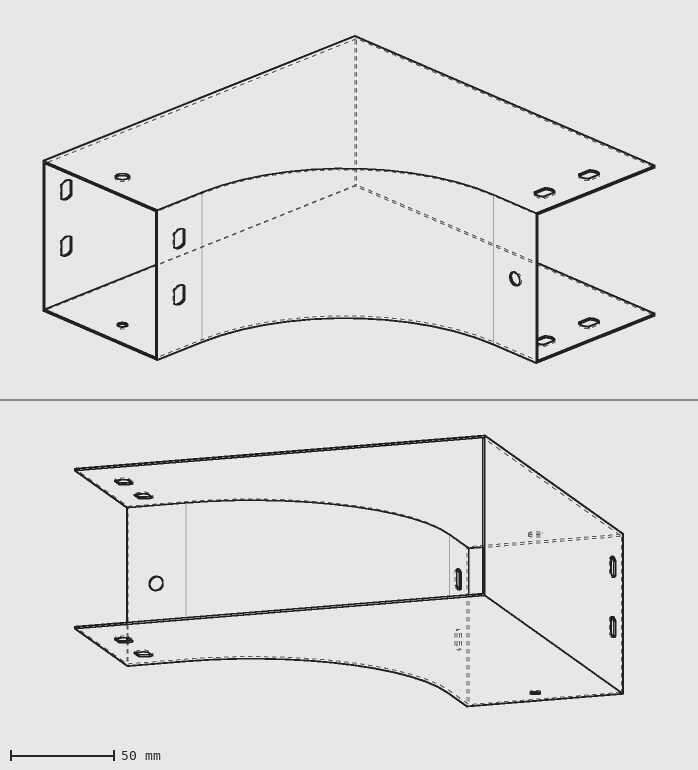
import cadquery as cq
import math

side = 210.0
duct = 80.0
wall = 1.0
straight = 30.0
bend_radius = side - duct - straight

end_inset = 15.0
slot_width = 7.0
slot_end_radius = 5.0
slot_offsets = (30.0, 60.0)
screw_clearance = 7.0
screw_pilot = 5.0


def elbow(inset, overrun, bottom, height):
    """L-shaped prism: walls moved inward by inset, open sides extended by overrun."""
    x_outer = inset
    y_outer = side + overrun
    x_inner = duct - inset
    y_inner = side - duct + inset
    x_end = side + overrun
    y_end = -overrun
    radius = bend_radius + inset
    centre_x = duct + bend_radius
    centre_y = straight
    diagonal = radius * math.sqrt(0.5)
    return (
        cq.Workplane("XY")
        .workplane(offset=bottom)
        .moveTo(x_outer, y_end)
        .lineTo(x_inner, y_end)
        .lineTo(x_inner, centre_y)
        .threePointArc((centre_x - diagonal, centre_y + diagonal), (centre_x, y_inner))
        .lineTo(x_end, y_inner)
        .lineTo(x_end, y_outer)
        .lineTo(x_outer, y_outer)
        .close()
        .extrude(height)
    )


def slot_cutter(plane, centre, length):
    """Straight-sided slot whose ends are arcs of one circle; it runs along the plane's local y."""
    half_width = slot_width / 2
    half_straight = math.sqrt(slot_end_radius**2 - half_width**2)
    return (
        cq.Workplane(plane)
        .center(*centre)
        .moveTo(-half_width, -half_straight)
        .threePointArc((0, -slot_end_radius), (half_width, -half_straight))
        .lineTo(half_width, half_straight)
        .threePointArc((0, slot_end_radius), (-half_width, half_straight))
        .close()
        .extrude(length)
    )


result = elbow(0, 0, 0, duct).cut(elbow(wall, wall, wall, duct - 2 * wall))

for offset in slot_offsets:
    result = result.cut(slot_cutter("YZ", (end_inset, offset), duct))
    result = result.cut(slot_cutter("XY", (side - end_inset, side - offset), duct))

clearance_depth = duct / 2
pilot_hole = cq.Workplane("XY").center(duct / 2, end_inset).circle(screw_pilot / 2).extrude(clearance_depth)
roof_hole = (
    cq.Workplane("XY")
    .workplane(offset=duct)
    .center(duct / 2, end_inset)
    .circle(screw_clearance / 2)
    .extrude(-clearance_depth)
)
inner_wall_hole = (
    cq.Workplane("XZ", origin=(0, side - duct, 0))
    .center(side - end_inset, duct / 2)
    .circle(screw_clearance / 2)
    .extrude(-clearance_depth)
)
result = result.cut(pilot_hole).cut(roof_hole).cut(inner_wall_hole)